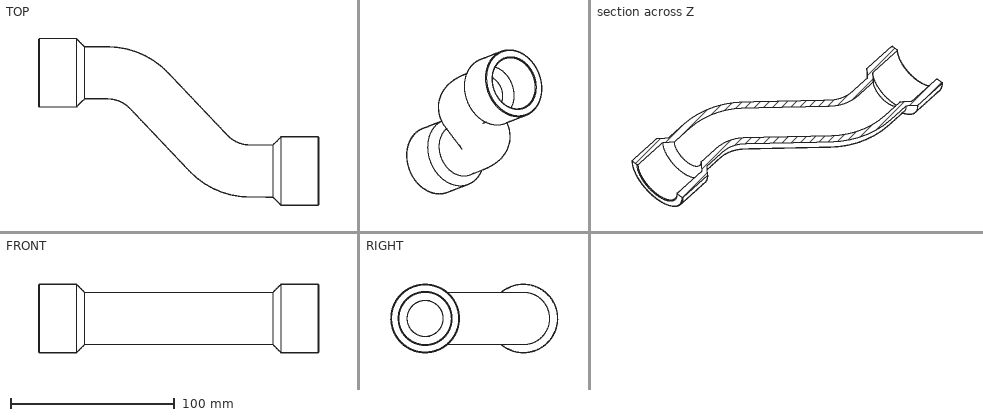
import cadquery as cq
import math

overall_length = 171.0
axis_offset = 60.0
bend_angle = 46.5
end_length = 42.0

pipe_diameter = 32.0
bore_diameter = 22.0
socket_diameter = 42.0
socket_bore_diameter = 32.0
socket_length = 23.0
rim_chamfer = 0.5

half_length = overall_length / 2
half_offset = axis_offset / 2
outer_taper = (socket_diameter - pipe_diameter) / 2
inner_taper = (socket_bore_diameter - bore_diameter) / 2
bend_start_x = half_length - end_length
angle = math.radians(bend_angle)
corner_x = half_offset / math.tan(angle)
bend_radius = (bend_start_x - corner_x) / math.tan(angle / 2)


def bend_point(turn):
    """Point on the axis of the left bend after turning through the given angle."""
    return (
        -bend_start_x + bend_radius * math.sin(turn),
        half_offset - bend_radius * (1 - math.cos(turn)),
    )


def opposite(point):
    """Point turned half a revolution about the Z axis."""
    return (-point[0], -point[1])


def pipe_sweep(diameter):
    """Round bar following the S-shaped axis from socket face to socket face."""
    start = (-half_length, half_offset)
    bend_start = bend_point(0)
    bend_middle = bend_point(angle / 2)
    bend_end = bend_point(angle)
    path = (
        cq.Workplane("XY")
        .moveTo(*start)
        .lineTo(*bend_start)
        .threePointArc(bend_middle, bend_end)
        .lineTo(*opposite(bend_end))
        .threePointArc(opposite(bend_middle), opposite(bend_start))
        .lineTo(*opposite(start))
    )
    section = cq.Workplane("YZ", origin=(start[0], start[1], 0)).circle(diameter / 2)
    return section.sweep(path)


def revolve_left(profile):
    """Revolve (distance from face, radius) points about the left socket axis."""
    return (
        cq.Workplane("XZ", origin=(-half_length, half_offset, 0))
        .polyline(profile)
        .close()
        .revolve(360, (0, 0, 0), (1, 0, 0))
    )


def socket_body():
    """Left socket with chamfered rim and conical shoulder."""
    radius = socket_diameter / 2
    shoulder_end = socket_length + outer_taper
    return revolve_left([
        (0, 0),
        (0, radius - rim_chamfer),
        (rim_chamfer, radius),
        (socket_length, radius),
        (shoulder_end, pipe_diameter / 2),
        (shoulder_end, 0),
    ])


def socket_cavity():
    """Left socket bore with chamfered mouth and conical bottom."""
    radius = socket_bore_diameter / 2
    cone_end = socket_length + inner_taper
    return revolve_left([
        (0, 0),
        (0, radius + rim_chamfer),
        (rim_chamfer, radius),
        (socket_length, radius),
        (cone_end, bore_diameter / 2),
        (cone_end, 0),
    ])


def both_ends(shape):
    """The left end feature together with its copy at the right end."""
    return shape.union(shape.rotate((0, 0, 0), (0, 0, 1), 180))


body = pipe_sweep(pipe_diameter).union(both_ends(socket_body()))
hollow = pipe_sweep(bore_diameter).union(both_ends(socket_cavity()))
result = body.cut(hollow)